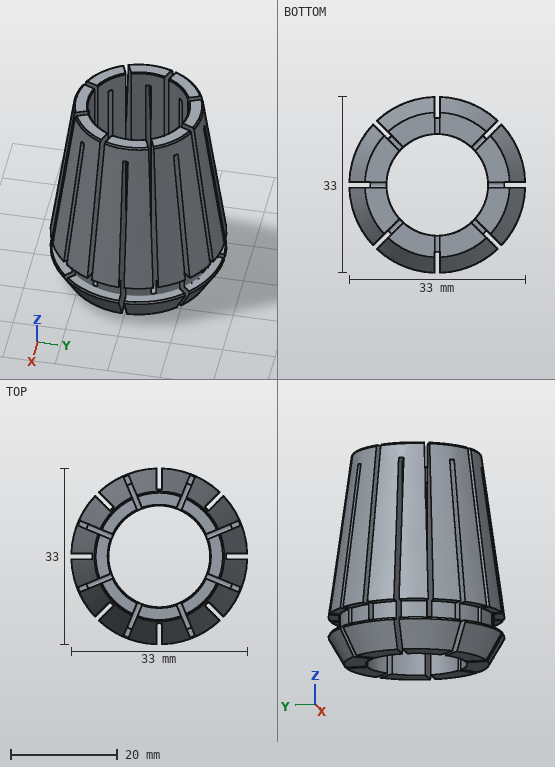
import cadquery as cq
import math

total_height = 40.0
max_radius = 16.5
bore_radius = 9.5
bore_edge_break = 0.2

cone_angle = math.radians(8.0)
cone_base_z = 9.0
cone_top_radius = max_radius - (total_height - cone_base_z) * math.tan(cone_angle)
top_edge_break = 0.3

groove_radius = 14.6
groove_floor_z = 5.5
groove_root_radius = 0.2
nose_angle = math.radians(30.0)
nose_rim_z = 5.1
nose_tip_radius = max_radius - nose_rim_z * math.tan(nose_angle)
rim_edge_break = groove_floor_z - nose_rim_z
rim_top_radius = max_radius - rim_edge_break * math.tan(nose_angle)

slots_per_set = 8
slot_pitch = 360.0 / slots_per_set
slot_width = 1.0
slot_corner_radius = 0.4
nose_slot_end_z = 37.0
top_slot_end_z = 5.9


def collet_body():
    """Revolve the half section of the collet about the Z axis."""
    break_radius = cone_top_radius + top_edge_break * math.tan(cone_angle)
    arc_inset = groove_root_radius * (1 - math.sqrt(0.5))
    half_section = (
        cq.Workplane("XZ")
        .moveTo(bore_radius, 0)
        .lineTo(nose_tip_radius, 0)
        .lineTo(max_radius, nose_rim_z)
        .lineTo(rim_top_radius, groove_floor_z)
        .lineTo(groove_radius + groove_root_radius, groove_floor_z)
        .threePointArc(
            (groove_radius + arc_inset, groove_floor_z + arc_inset),
            (groove_radius, groove_floor_z + groove_root_radius),
        )
        .lineTo(groove_radius, cone_base_z)
        .lineTo(max_radius, cone_base_z)
        .lineTo(break_radius, total_height - top_edge_break)
        .lineTo(break_radius - top_edge_break, total_height)
        .lineTo(bore_radius + bore_edge_break, total_height)
        .lineTo(bore_radius, total_height - bore_edge_break)
        .close()
    )
    return half_section.revolve(360, (0, 0), (0, 1))


def slot_cutter(open_z, end_z, angle):
    """Radial slot through one wall, open at open_z and with rounded corners at end_z."""
    slot = (
        cq.Workplane("YZ")
        .center(0, (open_z + end_z) / 2)
        .rect(slot_width, abs(open_z - end_z))
        .extrude(2 * max_radius)
    )
    closed_end = ">Z" if end_z > open_z else "<Z"
    slot = slot.faces(closed_end).edges("|X").fillet(slot_corner_radius)
    return slot.rotate((0, 0, 0), (0, 0, 1), angle)


result = collet_body()
for index in range(slots_per_set):
    nose_slot_angle = index * slot_pitch
    top_slot_angle = nose_slot_angle + slot_pitch / 2
    result = result.cut(slot_cutter(0, nose_slot_end_z, nose_slot_angle))
    result = result.cut(slot_cutter(total_height, top_slot_end_z, top_slot_angle))